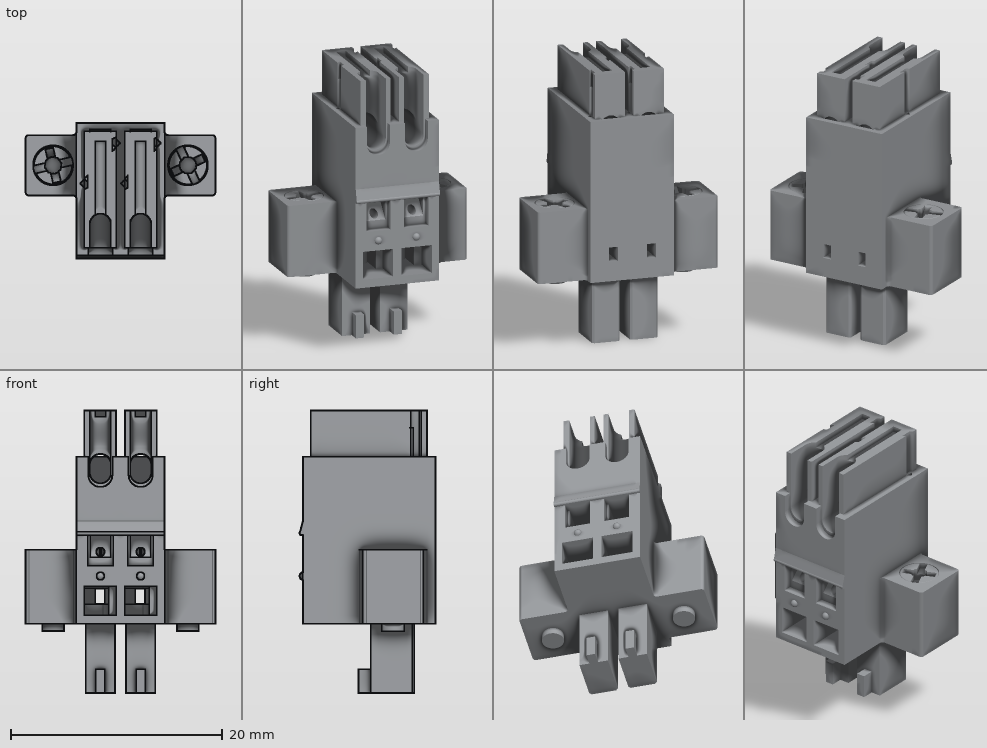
import cadquery as cq
import math


POLE_PITCH = 3.81
POLE_SIDES = (-1, 1)
OVERLAP = 0.1

HOUSING_WIDTH = 8.37
HOUSING_DEPTH = 12.57
HOUSING_HEIGHT = 15.86
FRONT_WALL = 0.74
FRONT_PROJECTION = 0.33

BAY_PITCH = 3.88
LEVER_WIDTH = 3.03
LEVER_LENGTH = 11.02
LEVER_BACK = FRONT_WALL + LEVER_LENGTH
LEVER_TOP = 20.23
LEVER_BOTTOM = 12.3
GROOVE_RADIUS = 1.0
GROOVE_END = 3.96
TUNNEL_BOTTOM = 13.33
TUNNEL_TOP = 16.1
SLOT_WIDTH = 1.0
SLOT_DEPTH = 0.58
SLOT_END = 10.83

NOTCH_FLOOR = 1.21
NOTCH_FRONT = 6.25
NOTCH_FRONT_INNER = 6.42
NOTCH_BACK = 7.24
NOTCH_BACK_INNER = 7.59
NOTCH_TURN_CENTRE = 8.73
RIB_TOP = 18.6
RIB_FRONT_INNER = 6.98
CATCH_CENTRE = 6.82
CATCH_HALF_DIAGONAL = 0.38
CATCH_DEPTH = 1.0

MOUTH_RADIUS = 1.15
MOUTH_BOTTOM = 12.98
RELIEF_THICKNESS = 0.2
RELIEF_HEIGHT = 3.0

RIDGE_TOP = 9.79
RIDGE_KNEE = 8.74
RIDGE_KNEE_OUT = 0.28
RIDGE_NOSE = 8.6
RIDGE_BOTTOM = 8.41
RIDGE_BOTTOM_OUT = 0.2

POCKET_WIDTH = 2.44
POCKET_DEPTH = 0.84
POCKET_BOTTOM = 5.5
RAMP_WIDTH = 1.97
RAMP_BOTTOM = 6.31
PROBE_DIAMETER = 0.8
PROBE_HEIGHT = 6.83
PROBE_END = 5.0
PROBE_GAP_WIDTH = 0.16
PROBE_GAP_DEPTH = 1.0
PROBE_SLANT_RISE = 0.5

BUMP_RADIUS = 0.37
BUMP_HEIGHT = 4.53

WINDOW_BOTTOM = 0.81
WINDOW_TOP = 3.56
WINDOW_DEPTH = 3.0
CAGE_RIGHT = 0.81
CAGE_DEPTH = 5.0
CAGE_BEND_RADIUS = 0.6
CLAMP_BOTTOM = 1.86
CLAMP_TOP = 3.4
CLAMP_DEPTH = 7.0
CLAMP_TILT = 0.35
PEEP_LEFT = -0.485
PEEP_RIGHT = 0.405
PEEP_BOTTOM = 1.92
PEEP_TOP = 3.33

FLANGE_SPAN = 18.01
FLANGE_HEIGHT = 7.04
FLANGE_FRONT = 5.67
FLANGE_BACK = 11.41
FLANGE_FILLET = 0.31

SCREW_X = 6.39
SCREW_Y = (FLANGE_FRONT + FLANGE_BACK) / 2
HEAD_DIAMETER = 3.8
HEAD_HEIGHT = 2.5
HEAD_CHAMFER = 0.1
SHANK_DIAMETER = 2.1
SHANK_END = -0.68
DRIVE_ARM_WIDTH = 0.77
DRIVE_CENTRE_WIDTH = 1.52
DRIVE_CENTRE_SIDES = 8
DRIVE_DEPTH = 1.2
DRIVE_SLOT_DEPTH = 0.6
DRIVE_CROSS_REACH = 1.63
DRIVE_ANGLES = {-1: 13, 1: -65}

CONTACT_WIDTH = 2.78
CONTACT_FRONT = 6.41
CONTACT_BACK = 10.57
CONTACT_BOTTOM = -6.57
CONTACT_TOP = 0.5
CONTACT_CHAMFER = 0.2
TAB_WIDTH = 0.84
TAB_FRONT = 5.25
TAB_TOP = -4.29


def block(x_range, y_range, z_range):
    """Box between two limits along each axis."""
    size = [high - low for low, high in (x_range, y_range, z_range)]
    corner = (x_range[0], y_range[0], z_range[0])
    return cq.Workplane("XY").box(*size, centered=False).translate(corner)


def centred_block(x, width, y_range, z_range):
    return block((x - width / 2, x + width / 2), y_range, z_range)


def plan_prism(points, z_range):
    """Outline in X and Y raised between two heights."""
    outline = cq.Workplane("XY", origin=(0, 0, z_range[0])).polyline(points).close()
    return outline.extrude(z_range[1] - z_range[0])


def side_prism(outline, x, width):
    """Closed wire in Y and Z spread evenly about x."""
    return outline.extrude(width / 2, both=True).translate((x, 0, 0))


def cylinder_along_y(x, z, diameter, y_range):
    plane = cq.Workplane("XZ", origin=(x, y_range[0], z))
    return plane.circle(diameter / 2).extrude(y_range[0] - y_range[1])


def pole_x(side):
    return side * POLE_PITCH / 2


def bay_x(side):
    return side * BAY_PITCH / 2


def notch_outline(side):
    """Undercut notch in the -X side of a lever."""
    edge = bay_x(side) - LEVER_WIDTH / 2
    floor = pole_x(side) - NOTCH_FLOOR
    return [(edge, NOTCH_FRONT), (floor, NOTCH_FRONT_INNER), (floor, NOTCH_BACK_INNER), (edge, NOTCH_BACK)]


def rib_outline(side):
    """Slanted rib that fills the back of a notch."""
    edge = bay_x(side) - LEVER_WIDTH / 2
    floor = pole_x(side) - NOTCH_FLOOR
    return [(edge, NOTCH_BACK), (floor, RIB_FRONT_INNER), (floor, NOTCH_BACK_INNER)]


def half_turn(side, outline):
    """The same outline on the opposite side of the lever in the bay on the given side."""
    return [(2 * bay_x(side) - x, 2 * NOTCH_TURN_CENTRE - y) for x, y in outline]


def lever(side):
    x = pole_x(side)
    body = centred_block(bay_x(side), LEVER_WIDTH, (FRONT_WALL, LEVER_BACK), (LEVER_BOTTOM, LEVER_TOP))

    low_centre = TUNNEL_BOTTOM + GROOVE_RADIUS
    high_centre = TUNNEL_TOP - GROOVE_RADIUS
    lever_range = (FRONT_WALL, LEVER_BACK)
    body = body.cut(centred_block(x, 2 * GROOVE_RADIUS, lever_range, (low_centre, high_centre)))
    for centre in (low_centre, high_centre):
        body = body.cut(cylinder_along_y(x, centre, 2 * GROOVE_RADIUS, lever_range))

    round_centre = GROOVE_END - GROOVE_RADIUS
    upright = (low_centre, LEVER_TOP)
    body = body.cut(centred_block(x, 2 * GROOVE_RADIUS, (FRONT_WALL, round_centre), upright))
    round_end = cq.Workplane("XY", origin=(x, round_centre, low_centre)).circle(GROOVE_RADIUS)
    body = body.cut(round_end.extrude(LEVER_TOP - low_centre))

    slot_heights = (LEVER_TOP - SLOT_DEPTH, LEVER_TOP)
    body = body.cut(centred_block(x, SLOT_WIDTH, (round_centre, SLOT_END), slot_heights))

    notch = notch_outline(side)
    rib = rib_outline(side)
    for notch_side, rib_side in ((notch, rib), (half_turn(side, notch), half_turn(side, rib))):
        body = body.cut(plan_prism(notch_side, (HOUSING_HEIGHT, LEVER_TOP)))
        body = body.union(plan_prism(rib_side, (HOUSING_HEIGHT, RIB_TOP)))
    return body


def lever_bay(side):
    """Everything cut from the housing for one lever."""
    x = pole_x(side)
    above = HOUSING_HEIGHT + OVERLAP
    bay = centred_block(bay_x(side), LEVER_WIDTH, (FRONT_WALL, LEVER_BACK), (LEVER_BOTTOM, above))

    mouth_centre = MOUTH_BOTTOM + MOUTH_RADIUS
    bay = bay.union(centred_block(x, 2 * MOUTH_RADIUS, (0, FRONT_WALL), (mouth_centre, above)))
    bay = bay.union(cylinder_along_y(x, mouth_centre, 2 * MOUTH_RADIUS, (0, FRONT_WALL)))

    relief = (
        cq.Workplane("YZ")
        .moveTo(LEVER_BACK, HOUSING_HEIGHT)
        .lineTo(LEVER_BACK + RELIEF_THICKNESS, HOUSING_HEIGHT)
        .lineTo(LEVER_BACK, HOUSING_HEIGHT - RELIEF_HEIGHT)
        .close()
    )
    bay = bay.union(side_prism(relief, x, 2 * GROOVE_RADIUS))

    edge = bay_x(side) - LEVER_WIDTH / 2
    catch = [
        (edge, CATCH_CENTRE - CATCH_HALF_DIAGONAL),
        (edge - CATCH_HALF_DIAGONAL, CATCH_CENTRE),
        (edge, CATCH_CENTRE + CATCH_HALF_DIAGONAL),
    ]
    for outline in (catch, half_turn(side, catch)):
        bay = bay.union(plan_prism(outline, (HOUSING_HEIGHT - CATCH_DEPTH, HOUSING_HEIGHT)))
    return bay


def flange_bar():
    """Bar that carries both screw flanges, with rounded corners and roots."""
    half_span = FLANGE_SPAN / 2
    bar = block((-half_span, half_span), (FLANGE_FRONT, FLANGE_BACK), (0, FLANGE_HEIGHT))
    bar = bar.edges("|Z").fillet(FLANGE_FILLET)
    side_wall = HOUSING_WIDTH / 2
    root = side_wall + FLANGE_FILLET
    for side in POLE_SIDES:
        for face, outward in ((FLANGE_FRONT, -1), (FLANGE_BACK, 1)):
            centre = (side * root, face + outward * FLANGE_FILLET)
            ends = (side * side_wall, side * root)
            strip = block(sorted(ends), sorted((face, centre[1])), (0, FLANGE_HEIGHT))
            hollow = cq.Workplane("XY").center(*centre).circle(FLANGE_FILLET).extrude(FLANGE_HEIGHT)
            bar = bar.union(strip.cut(hollow))
    return bar


def ridge():
    outline = (
        cq.Workplane("YZ")
        .moveTo(0, RIDGE_TOP)
        .lineTo(-RIDGE_KNEE_OUT, RIDGE_KNEE)
        .threePointArc((-FRONT_PROJECTION, RIDGE_NOSE), (-RIDGE_BOTTOM_OUT, RIDGE_BOTTOM))
        .lineTo(OVERLAP, RIDGE_BOTTOM)
        .lineTo(OVERLAP, RIDGE_TOP)
        .close()
    )
    return side_prism(outline, 0, HOUSING_WIDTH)


def bump(side):
    """Ball partly sunk in the front face."""
    return cq.Workplane("XY").sphere(BUMP_RADIUS).translate(
        (pole_x(side), BUMP_RADIUS - FRONT_PROJECTION, BUMP_HEIGHT)
    )


def probe_hole(x):
    """Round hole with a narrow gap and a slanted right half at its end."""
    radius = PROBE_DIAMETER / 2
    hole_range = (PROBE_HEIGHT - radius, PROBE_HEIGHT + radius)
    gap_right = x + PROBE_GAP_WIDTH / 2
    slant = [(gap_right, PROBE_END), (x + radius, PROBE_END), (x + radius, PROBE_END - PROBE_SLANT_RISE)]
    hole = cylinder_along_y(x, PROBE_HEIGHT, PROBE_DIAMETER, (POCKET_DEPTH, PROBE_END))
    hole = hole.cut(plan_prism(slant, hole_range))

    deep_hole = cylinder_along_y(x, PROBE_HEIGHT, PROBE_DIAMETER, (PROBE_END, PROBE_END + PROBE_GAP_DEPTH))
    gap = centred_block(x, PROBE_GAP_WIDTH, (PROBE_END, PROBE_END + PROBE_GAP_DEPTH), hole_range)
    return hole.union(deep_hole.intersect(gap))


def test_pocket(side):
    """Front pocket with a 45 degree ramp and a probe hole behind it."""
    x = pole_x(side)
    pocket = centred_block(x, POCKET_WIDTH, (0, POCKET_DEPTH), (POCKET_BOTTOM, RIDGE_BOTTOM))
    rise = RIDGE_BOTTOM - RAMP_BOTTOM
    ramp = (
        cq.Workplane("YZ")
        .moveTo(POCKET_DEPTH, RAMP_BOTTOM)
        .lineTo(POCKET_DEPTH + rise, RIDGE_BOTTOM)
        .lineTo(POCKET_DEPTH, RIDGE_BOTTOM)
        .close()
    )
    pocket = pocket.union(side_prism(ramp, x, RAMP_WIDTH))
    return pocket.union(probe_hole(x))


def wire_window(side):
    """Stepped wire entry that narrows to a small opening through the back."""
    x = pole_x(side)
    left = bay_x(side) - LEVER_WIDTH / 2
    right = bay_x(side) + LEVER_WIDTH / 2
    cage_right = x + CAGE_RIGHT
    window = block((left, right), (0, WINDOW_DEPTH), (WINDOW_BOTTOM, WINDOW_TOP))

    bend_start = cage_right - CAGE_BEND_RADIUS
    bend_end = CAGE_DEPTH + CAGE_BEND_RADIUS
    bend_middle = (
        bend_start + CAGE_BEND_RADIUS * math.sin(math.pi / 4),
        bend_end - CAGE_BEND_RADIUS * math.cos(math.pi / 4),
    )
    cage = (
        cq.Workplane("XY", origin=(0, 0, WINDOW_BOTTOM))
        .moveTo(left, WINDOW_DEPTH)
        .lineTo(left, CAGE_DEPTH)
        .lineTo(bend_start, CAGE_DEPTH)
        .threePointArc(bend_middle, (cage_right, bend_end))
        .lineTo(cage_right, WINDOW_DEPTH)
        .close()
        .extrude(WINDOW_TOP - WINDOW_BOTTOM)
    )
    window = window.union(cage)

    clamp = [
        (left, WINDOW_DEPTH),
        (cage_right, WINDOW_DEPTH),
        (cage_right, CLAMP_DEPTH),
        (x + PEEP_LEFT, CLAMP_DEPTH),
        (left, CLAMP_DEPTH + CLAMP_TILT),
    ]
    window = window.union(plan_prism(clamp, (CLAMP_BOTTOM, CLAMP_TOP)))

    peep_range = (x + PEEP_LEFT, x + PEEP_RIGHT)
    return window.union(block(peep_range, (WINDOW_DEPTH, HOUSING_DEPTH), (PEEP_BOTTOM, PEEP_TOP)))


def screw_blank(side):
    """Screw without its drive; the same shape makes its seat in the flange."""
    centre = (side * SCREW_X, SCREW_Y)
    head_bottom = FLANGE_HEIGHT - HEAD_HEIGHT
    head = cq.Workplane("XY").workplane(offset=head_bottom).center(*centre).circle(HEAD_DIAMETER / 2)
    shank = cq.Workplane("XY").workplane(offset=SHANK_END).center(*centre).circle(SHANK_DIAMETER / 2)
    return head.extrude(HEAD_HEIGHT).union(shank.extrude(head_bottom - SHANK_END))


def screw_drive(side):
    """Recess of a slot crossed by two sloped arms around an octagonal centre, flats facing the arms."""
    octagon = cq.Workplane("XY").polygon(DRIVE_CENTRE_SIDES, DRIVE_CENTRE_WIDTH, circumscribed=True)
    half_side_angle = 180 / DRIVE_CENTRE_SIDES
    centre = octagon.extrude(-DRIVE_DEPTH).rotate((0, 0, 0), (0, 0, 1), half_side_angle)
    slot = cq.Workplane("XY").rect(HEAD_DIAMETER, DRIVE_ARM_WIDTH).extrude(-DRIVE_SLOT_DEPTH)
    inner = DRIVE_CENTRE_WIDTH / 2
    arms = (
        cq.Workplane("YZ")
        .moveTo(-DRIVE_CROSS_REACH, 0)
        .lineTo(-inner, -DRIVE_DEPTH)
        .lineTo(inner, -DRIVE_DEPTH)
        .lineTo(DRIVE_CROSS_REACH, 0)
        .close()
    )
    drive = centre.union(slot).union(side_prism(arms, 0, DRIVE_ARM_WIDTH))
    turned = drive.rotate((0, 0, 0), (0, 0, 1), DRIVE_ANGLES[side])
    return turned.translate((side * SCREW_X, SCREW_Y, FLANGE_HEIGHT))


def flange_screw(side):
    return screw_blank(side).faces(">Z").edges().chamfer(HEAD_CHAMFER).cut(screw_drive(side))


def contact(side):
    """Plug-in contact with a tab at the bottom of its front."""
    x = pole_x(side)
    body = centred_block(x, CONTACT_WIDTH, (CONTACT_FRONT, CONTACT_BACK), (CONTACT_BOTTOM, CONTACT_TOP))
    body = body.faces(">Y").edges("|Z").chamfer(CONTACT_CHAMFER)
    return body.union(centred_block(x, TAB_WIDTH, (TAB_FRONT, CONTACT_FRONT), (CONTACT_BOTTOM, TAB_TOP)))


def housing():
    body = centred_block(0, HOUSING_WIDTH, (0, HOUSING_DEPTH), (0, HOUSING_HEIGHT))
    body = body.union(flange_bar()).union(ridge())
    for side in POLE_SIDES:
        body = body.union(bump(side))
        for opening in (lever_bay, test_pocket, wire_window, screw_blank, contact):
            body = body.cut(opening(side))
    return body


bodies = [housing()]
for pole_side in POLE_SIDES:
    bodies += [lever(pole_side), contact(pole_side), flange_screw(pole_side)]

result = cq.Compound.makeCompound([body.val() for body in bodies])